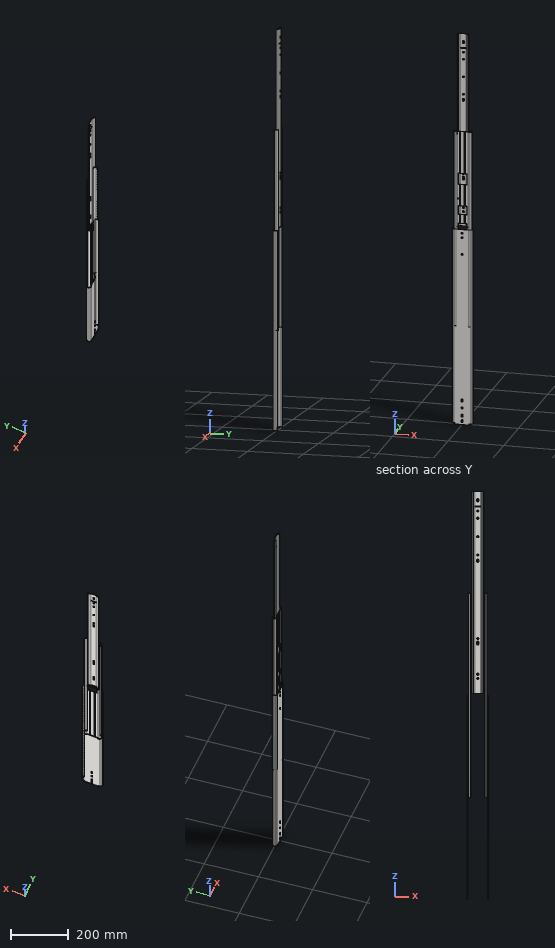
import cadquery as cq
import math


total_length = 1422.0
half_width = 38.0
half_depth = 10.0
sheet = 2.1
half_sheet = sheet / 2
bend_radius = 0.4
slide_top = total_length / 2
slide_bottom = -total_length / 2

outer_top = 1.0
tab_length = 4.0
outer_bottom = slide_bottom + tab_length
middle_top = 357.0
middle_bottom = -353.0
inner_bottom = 9.0

outer_web_y = -half_depth + half_sheet
outer_web_half = 30.0
outer_corner_x = 34.0
outer_corner_y = -7.0
outer_side_x = half_width - half_sheet
outer_side_y = 3.0
outer_lip_x = 34.0
outer_lip_y = 7.0
tab_half_width = 25.0

middle_web_y = -3.0
middle_web_half = 20.0
middle_channel_y = -5.0
middle_channel_inner_x = 23.0
middle_channel_outer_x = 27.0
middle_side_x = 33.0
middle_side_low_y = 0.0
middle_side_high_y = 4.0
middle_back_x = 28.0
middle_lip_x = 24.0

inner_web_y = half_depth - half_sheet
inner_web_half = 10.0
inner_shoulder_x = 13.0
inner_shoulder_y = 6.4
inner_side_x = 21.0 - half_sheet
inner_race_x = 17.0
inner_race_y = 1.0
inner_race_top_y = 3.5
inner_edge_y = -0.5

hole_diameter = 5.0
slot_length = 10.0
long_slot_length = 13.0
slot_width = 5.0
outer_holes = [-13.0, -28.0, -90.0, -650.0]
outer_slots = [-623.0, -678.0, -698.0]
inner_holes = [643.0, 617.0, 553.0, 489.0, 199.0, 75.0, 61.0]
inner_slots = [680.0, 470.0]
inner_long_slots = [183.0]

window_half_width = 15.0
window_radius = 3.0
windows = [(164.0, 203.0), (54.0, 85.0), (-10.0, 21.0)]

groove_x = 9.0
groove_width = 4.0
groove_depth = 0.7
groove_end_gap = 4.0

cross_groove_z = 658.0
cross_groove_width = 3.0

cut_depth = sheet * 2


def offset_line(points, distance):
    """Shift an open polyline sideways, with mitred corners."""
    angles = [math.atan2(b[1] - a[1], b[0] - a[0]) for a, b in zip(points, points[1:])]
    before = [angles[0]] + angles
    after = angles + [angles[-1]]
    shifted = []
    for (x, y), first, second in zip(points, before, after):
        middle_angle = (first + second) / 2
        reach = distance / math.cos((second - first) / 2)
        shifted.append((x - reach * math.sin(middle_angle), y + reach * math.cos(middle_angle)))
    return shifted


def rail(half_line, bottom, top):
    """Extrude a folded sheet from the +X half of its centreline, listed from the web outwards."""
    centreline = [(-x, y) for x, y in reversed(half_line)] + half_line
    outline = offset_line(centreline, half_sheet) + offset_line(centreline, -half_sheet)[::-1]
    strip = cq.Workplane("XY").workplane(offset=bottom).polyline(outline).close().extrude(top - bottom)
    return strip.edges("|Z").fillet(bend_radius)


def block(x, y, bottom, top, width, depth):
    """Upright block centred on x and y."""
    return cq.Workplane("XY").workplane(offset=bottom).center(x, y).rect(width, depth).extrude(top - bottom)


def cut_web_slots(body, web_y, heights, length):
    """Cut upright slots through a web, on the rail axis."""
    centres = cq.Workplane("XZ", origin=(0, web_y, 0)).pushPoints([(0, z) for z in heights])
    return body.cut(centres.slot2D(length, slot_width, 90).extrude(cut_depth / 2, both=True))


def cut_web_holes(body, web_y, heights):
    """Cut round holes through a web, on the rail axis."""
    centres = cq.Workplane("XZ", origin=(0, web_y, 0)).pushPoints([(0, z) for z in heights])
    return body.cut(centres.circle(hole_diameter / 2).extrude(cut_depth / 2, both=True))


def make_outer_rail():
    section = [
        (outer_web_half, outer_web_y),
        (outer_corner_x, outer_corner_y),
        (outer_side_x, -outer_side_y),
        (outer_side_x, outer_side_y),
        (outer_lip_x, outer_lip_y),
    ]
    body = rail(section, outer_bottom, outer_top)
    tab = block(0, outer_web_y, slide_bottom, outer_bottom, 2 * tab_half_width, sheet)
    body = cut_web_holes(body.union(tab), outer_web_y, outer_holes)
    return cut_web_slots(body, outer_web_y, outer_slots, slot_length)


def make_middle_rail():
    section = [
        (middle_web_half, middle_web_y),
        (middle_channel_inner_x, middle_channel_y),
        (middle_channel_outer_x, middle_channel_y),
        (middle_side_x, middle_side_low_y),
        (middle_side_x, middle_side_high_y),
        (middle_back_x, half_depth - half_sheet),
        (middle_lip_x, half_depth - half_sheet),
    ]
    body = rail(section, middle_bottom, middle_top)

    groove_top = middle_top - groove_end_gap
    for side in (-1, 1):
        groove = block(side * groove_x, middle_web_y - half_sheet, middle_bottom + groove_end_gap,
                       groove_top, groove_width, 2 * groove_depth)
        body = body.cut(groove)

    for low, high in windows:
        window = block(0, middle_web_y, low, high, 2 * window_half_width, cut_depth)
        body = body.cut(window.edges("|Y").fillet(window_radius))
    return body


def make_inner_rail():
    section = [
        (inner_web_half, inner_web_y),
        (inner_shoulder_x, inner_shoulder_y),
        (inner_side_x, inner_shoulder_y),
        (inner_side_x, inner_race_top_y),
        (inner_race_x, inner_race_y),
        (inner_side_x, inner_edge_y),
    ]
    body = rail(section, inner_bottom, slide_top)
    cross_groove = block(0, inner_web_y - half_sheet, cross_groove_z - cross_groove_width / 2,
                         cross_groove_z + cross_groove_width / 2, 2 * inner_web_half, 2 * groove_depth)
    body = cut_web_holes(body.cut(cross_groove), inner_web_y, inner_holes)
    body = cut_web_slots(body, inner_web_y, inner_slots, slot_length)
    return cut_web_slots(body, inner_web_y, inner_long_slots, long_slot_length)


outer_rail = make_outer_rail()
middle_rail = make_middle_rail()
inner_rail = make_inner_rail()

rails = (outer_rail, middle_rail, inner_rail)
result = cq.Compound.makeCompound([body.solids().val() for body in rails])